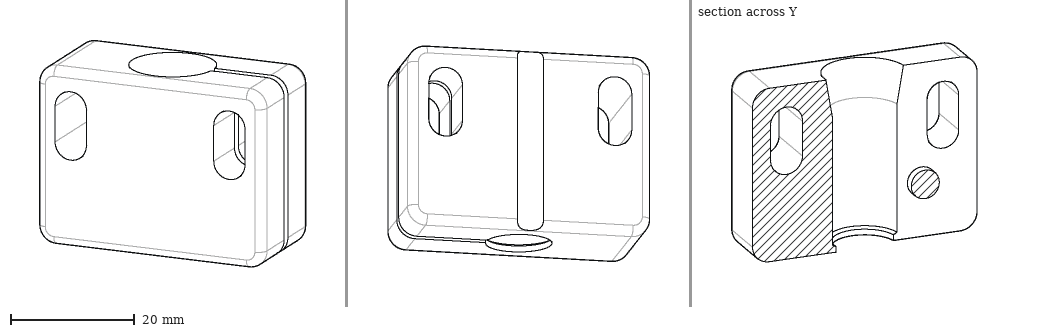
import cadquery as cq
import math

length = 40
thickness = 18.3
height = 30
corner_radius = 3.0
edge_radius = corner_radius / 2

bore_top_diameter = 14.25
bore_seat_diameter = 12
bore_lip_diameter = 10.7
bore_entry_depth = 6.5
lip_slope_degrees = 30
lip_land_height = 1.0

slit_width = 1.5

pin_diameter = 5.0
pin_x = 10.3

slot_width = 5.5
slot_length = 11.5
slot_spacing = 28
slot_z = 5.5

groove_diameter = 5.0
groove_depth = 1.25


def make_block():
    """Plate with rounded corners and softened front and back rims."""
    block = cq.Workplane("XY").box(length, thickness, height)
    block = block.edges("|Y").fillet(corner_radius)
    return block.faces("<Y or >Y").edges().fillet(edge_radius)


def make_bore():
    """Entry cone, straight seat, then a sloped lip with a short straight land."""
    top_z = height / 2
    bottom_z = -top_z
    seat_radius = bore_seat_diameter / 2
    lip_radius = bore_lip_diameter / 2
    lip_drop = (seat_radius - lip_radius) * math.tan(math.radians(lip_slope_degrees))
    land_z = bottom_z + lip_land_height
    profile = (
        cq.Workplane("XZ")
        .moveTo(0, top_z)
        .lineTo(bore_top_diameter / 2, top_z)
        .lineTo(seat_radius, top_z - bore_entry_depth)
        .lineTo(seat_radius, land_z + lip_drop)
        .lineTo(lip_radius, land_z)
        .lineTo(lip_radius, bottom_z)
        .lineTo(0, bottom_z)
        .close()
    )
    return profile.revolve(360, (0, 0, 0), (0, 1, 0))


def make_slit():
    """Full-height gap from the bore axis out through the +X end."""
    return cq.Workplane("XY").box(length / 2, slit_width, height).translate((length / 4, 0, 0))


def make_pin():
    """Cylinder along Y filling the slit width, placed below the slots."""
    pin_z = -slot_z
    pin = cq.Workplane("XZ").circle(pin_diameter / 2).extrude(slit_width / 2, both=True)
    return pin.translate((pin_x, 0, pin_z))


def make_slots():
    """Pair of upright round-ended slots."""
    return (
        cq.Workplane("XZ")
        .pushPoints([(-slot_spacing / 2, slot_z), (slot_spacing / 2, slot_z)])
        .slot2D(slot_length, slot_width, 90)
        .extrude(thickness, both=True)
    )


def make_groove():
    """Full-height round groove sunk into the +Y face."""
    groove_y = thickness / 2 - groove_depth + groove_diameter / 2
    return cq.Workplane("XY").center(0, groove_y).circle(groove_diameter / 2).extrude(height, both=True)


result = (
    make_block()
    .cut(make_bore())
    .cut(make_slit())
    .union(make_pin())
    .cut(make_slots())
    .cut(make_groove())
)